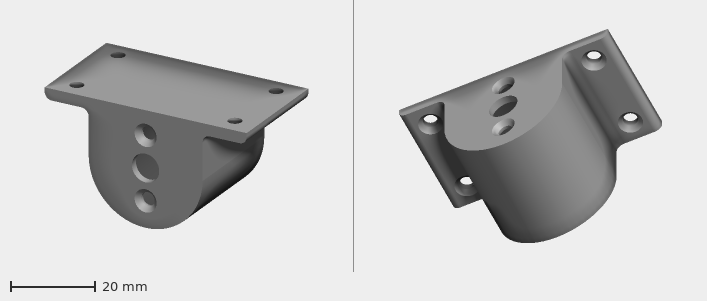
import cadquery as cq

plate_length = 55.0
depth = 30.0
plate_thickness = 3.0
edge_radius = 2.0
plate_hole_spacing_x = 43.0
plate_hole_spacing_y = 20.0

screw_hole_diameter = 3.6
countersink_diameter = 6.0
countersink_angle = 90.0

total_height = 30.5
housing_radius = 15.5
axis_z = housing_radius - total_height
bore_diameter = 25.4
front_wall = 2.0
front_y = -depth / 2

shaft_hole_diameter = 7.4
screw_spacing = 17.0


def make_plate():
    plate = cq.Workplane("XY").box(plate_length, depth, plate_thickness, centered=(True, True, False))
    plate = plate.translate((0, 0, -plate_thickness))
    return plate.edges("|Y and <Z").fillet(edge_radius)


def make_housing():
    """U-shaped block, extruded along Y from the front face."""
    return (
        cq.Workplane("XZ", origin=(0, front_y, 0))
        .moveTo(-housing_radius, 0)
        .lineTo(-housing_radius, axis_z)
        .threePointArc((0, -total_height), (housing_radius, axis_z))
        .lineTo(housing_radius, 0)
        .close()
        .extrude(-depth)
    )


def fillet_inside_corners(body):
    """Round the two corners where the housing sides meet the plate."""
    reach = 0.05
    corners = cq.selectors.BoxSelector(
        (-housing_radius - reach, -depth, -plate_thickness - reach),
        (housing_radius + reach, depth, -plate_thickness + reach),
    )
    return body.edges("|Y").edges(corners).fillet(edge_radius)


def cut_bore(body):
    """Round bore, open at the back and closed by the front wall."""
    bore = (
        cq.Workplane("XZ", origin=(0, front_y + front_wall, axis_z))
        .circle(bore_diameter / 2)
        .extrude(front_wall - depth)
    )
    return body.cut(bore)


def cut_front_holes(body):
    front = cq.Workplane("XZ", origin=(0, front_y, axis_z))
    body = body.cut(front.circle(shaft_hole_diameter / 2).extrude(-front_wall))
    body = body.copyWorkplane(front)
    return body.pushPoints([(0, -screw_spacing / 2), (0, screw_spacing / 2)]).cskHole(
        screw_hole_diameter, countersink_diameter, countersink_angle, depth=front_wall
    )


def cut_plate_holes(body):
    """Four holes through the plate flanges, countersunk from the underside."""
    underside = cq.Workplane("XY", origin=(0, 0, -plate_thickness)).transformed(rotate=(180, 0, 0))
    body = body.copyWorkplane(underside)
    return body.rarray(plate_hole_spacing_x, plate_hole_spacing_y, 2, 2).cskHole(
        screw_hole_diameter, countersink_diameter, countersink_angle, depth=plate_thickness
    )


result = make_plate().union(make_housing())
result = fillet_inside_corners(result)
result = cut_bore(result)
result = cut_front_holes(result)
result = cut_plate_holes(result)